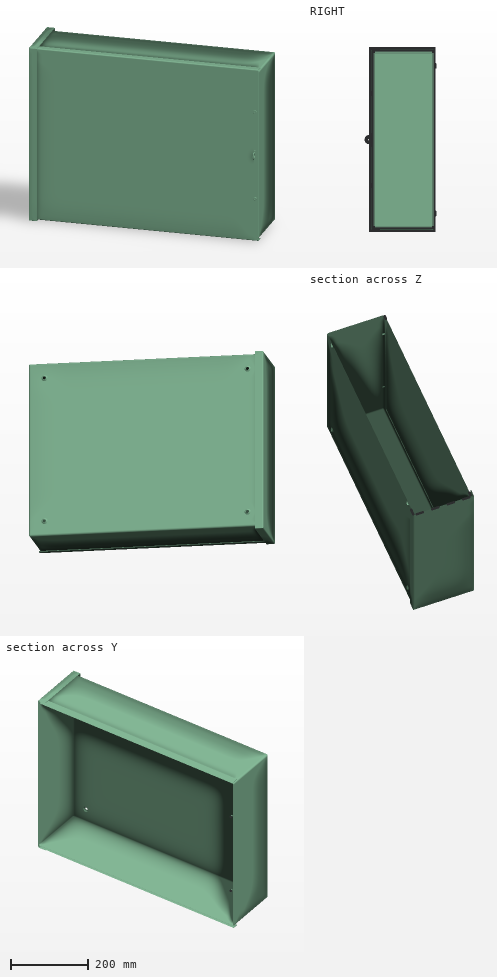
import cadquery as cq

OVERALL_LENGTH = 615.96
OVERALL_DEPTH = 180.96
OVERALL_WIDTH = 473.07
SHEET = 1.59

RIGHT_X = OVERALL_LENGTH / 2
LEFT_X = -RIGHT_X
FRONTMOST_Y = -OVERALL_DEPTH / 2
REARMOST_Y = OVERALL_DEPTH / 2

MOUNT_BOSS_HEIGHT = 3.17
BOX_BEND = 4.76
BOX_LEFT_X = LEFT_X + SHEET
BOX_BACK_Y = REARMOST_Y - MOUNT_BOSS_HEIGHT
BOX_DEPTH = 159.2
BOX_FRONT_Y = BOX_BACK_Y - BOX_DEPTH
BOX_WIDTH = 459.0
LIP_WIDTH = 15.9

MOUNT_SPACING_X = 533.4
MOUNT_SPACING_Z = 381.0
MOUNT_BOSS_BASE_DIAMETER = 16.0
MOUNT_BOSS_TIP_DIAMETER = 9.0
MOUNT_HOLE_DIAMETER = 7.95

HOOD_SKIRT = 22.2
HOOD_BEND = 3.17
HOOD_CORNER_RADIUS = 1.2
HOOD_BACK_Y = BOX_BACK_Y + SHEET
HOOD_FRONT_Y = -79.7

COVER_CLEARANCE = 0.5
COVER_BEND = 2.8
COVER_FLANGE = 19.05
COVER_WIDTH = OVERALL_WIDTH - 2 * (SHEET + COVER_CLEARANCE)
COVER_FRONT_Y = BOX_FRONT_Y - SHEET

FASTENER_X = 298.6
SCREW_SPACING = 237.5
SCREW_HEAD_DIAMETER = 9.53
SCREW_HEAD_HEIGHT = 1.4
SCREW_HEAD_ROUNDING = 0.9
SCREW_SOCKET_DIAMETER = 3.76
SCREW_SOCKET_DEPTH = 0.8
SCREW_SHANK_DIAMETER = 4.17
SCREW_LENGTH = 10.0

EYE_RADIUS = 9.53
EYE_HOLE_DIAMETER = 9.53
EYE_THICKNESS = SHEET
EYE_BASE_LENGTH = 32.0
EYE_BASE_OFFSET_Z = -1.6
EYE_BASE_WIDTH = 4.2
EYE_BASE_PROUD = 2.4


def block(x_range, y_range, z_size):
    """Rectangular block between two X and two Y positions, centred on Z = 0."""
    x_min, x_max = x_range
    y_min, y_max = y_range
    return (
        cq.Workplane("XY")
        .box(x_max - x_min, y_max - y_min, z_size, centered=(False, False, True))
        .translate((x_min, y_min, 0))
    )


def bent_block(x_range, y_range, z_size, bends):
    """Block whose edges are rounded one direction at a time, so that the bends meet in mitres.

    bends lists pairs of an edge selector and the radius for those parallel edges.
    """
    mitred = block(x_range, y_range, z_size)
    for edges, radius in bends:
        rounded = block(x_range, y_range, z_size).edges(edges).fillet(radius)
        mitred = mitred.intersect(rounded)
    return mitred


def rod(x, z, y_start, y_end, diameter):
    """Round bar along +Y from y_start to y_end."""
    return (
        cq.Workplane("XZ", origin=(x, y_start, z))
        .circle(diameter / 2)
        .extrude(y_start - y_end)
    )


def screw_positions():
    return [(FASTENER_X, side * SCREW_SPACING / 2) for side in (-1, 1)]


def add_mount_boss(box, x, z):
    """Press one hollow conical boss, with a hole in its tip, out of the back."""

    def cone(y_start):
        return (
            cq.Workplane("XZ", origin=(x, y_start, z))
            .circle(MOUNT_BOSS_BASE_DIAMETER / 2)
            .workplane(offset=-MOUNT_BOSS_HEIGHT)
            .circle(MOUNT_BOSS_TIP_DIAMETER / 2)
            .loft(ruled=True)
        )

    inner_back_y = BOX_BACK_Y - SHEET
    hole = rod(x, z, inner_back_y, REARMOST_Y, MOUNT_HOLE_DIAMETER)
    return box.union(cone(BOX_BACK_Y)).cut(cone(inner_back_y)).cut(hole)


def box_bends(radius):
    return [("|X", radius), ("|Y", radius), ("|Z", radius)]


def make_box():
    outer = bent_block(
        (BOX_LEFT_X, RIGHT_X),
        (BOX_FRONT_Y, BOX_BACK_Y),
        BOX_WIDTH,
        box_bends(BOX_BEND),
    )
    inner = bent_block(
        (BOX_LEFT_X + SHEET, RIGHT_X - SHEET),
        (BOX_FRONT_Y + SHEET, BOX_BACK_Y - SHEET),
        BOX_WIDTH - 2 * SHEET,
        box_bends(BOX_BEND - SHEET),
    )
    opening = block(
        (BOX_LEFT_X + LIP_WIDTH, RIGHT_X - LIP_WIDTH),
        (BOX_FRONT_Y, BOX_FRONT_Y + SHEET),
        BOX_WIDTH - 2 * LIP_WIDTH,
    )
    box = outer.cut(inner).cut(opening)

    for side_x in (-1, 1):
        for side_z in (-1, 1):
            box = add_mount_boss(box, side_x * MOUNT_SPACING_X / 2, side_z * MOUNT_SPACING_Z / 2)

    for x, z in screw_positions():
        box = box.cut(rod(x, z, BOX_FRONT_Y, BOX_FRONT_Y + SHEET, SCREW_SHANK_DIAMETER))
    return box


def make_hood():
    open_x = LEFT_X + HOOD_SKIRT
    outer = bent_block(
        (LEFT_X, open_x),
        (HOOD_FRONT_Y, HOOD_BACK_Y),
        OVERALL_WIDTH,
        [("|Y and <X", HOOD_BEND), ("|Z and <X", HOOD_BEND), ("|X", HOOD_CORNER_RADIUS)],
    )
    inner_bend = HOOD_BEND - SHEET
    inner = bent_block(
        (LEFT_X + SHEET, open_x),
        (HOOD_FRONT_Y + SHEET, HOOD_BACK_Y - SHEET),
        OVERALL_WIDTH - 2 * SHEET,
        [("|Y and <X", inner_bend), ("|Z and <X", inner_bend)],
    )
    return outer.cut(inner)


def make_cover():
    x_range = (LEFT_X + HOOD_BEND, RIGHT_X)
    flange_y = COVER_FRONT_Y + COVER_FLANGE
    outer = (
        block(x_range, (COVER_FRONT_Y, flange_y), COVER_WIDTH)
        .edges("|X and <Y")
        .fillet(COVER_BEND)
    )
    inner = (
        block(x_range, (COVER_FRONT_Y + SHEET, flange_y), COVER_WIDTH - 2 * SHEET)
        .edges("|X and <Y")
        .fillet(COVER_BEND - SHEET)
    )
    cover = outer.cut(inner)

    for x, z in screw_positions():
        cover = cover.cut(rod(x, z, COVER_FRONT_Y, COVER_FRONT_Y + SHEET, SCREW_SHANK_DIAMETER))
    return cover.cut(eye_base())


def make_screw(x, z):
    head_y = COVER_FRONT_Y - SCREW_HEAD_HEIGHT
    head = (
        rod(x, z, head_y, COVER_FRONT_Y, SCREW_HEAD_DIAMETER)
        .edges("<Y")
        .fillet(SCREW_HEAD_ROUNDING)
    )
    socket = rod(x, z, head_y, head_y + SCREW_SOCKET_DEPTH, SCREW_SOCKET_DIAMETER)
    shank = rod(x, z, COVER_FRONT_Y, COVER_FRONT_Y + SCREW_LENGTH, SCREW_SHANK_DIAMETER)
    return head.union(shank).cut(socket)


def eye_base():
    """Bar that stands on the lip of the box and passes through the cover."""
    base = block(
        (FASTENER_X - EYE_BASE_WIDTH / 2, FASTENER_X + EYE_BASE_WIDTH / 2),
        (COVER_FRONT_Y - EYE_BASE_PROUD, BOX_FRONT_Y),
        EYE_BASE_LENGTH,
    )
    return base.translate((0, 0, EYE_BASE_OFFSET_Z))


def make_padlock_eye():
    centre_y = FRONTMOST_Y + EYE_RADIUS
    base_top_y = COVER_FRONT_Y - EYE_BASE_PROUD
    plate_start = (FASTENER_X - EYE_THICKNESS / 2, 0, 0)
    plate = (
        cq.Workplane("YZ", origin=plate_start)
        .moveTo(base_top_y, -EYE_RADIUS)
        .lineTo(centre_y, -EYE_RADIUS)
        .threePointArc((FRONTMOST_Y, 0), (centre_y, EYE_RADIUS))
        .lineTo(base_top_y, EYE_RADIUS)
        .close()
        .extrude(EYE_THICKNESS)
    )
    hole = (
        cq.Workplane("YZ", origin=plate_start)
        .center(centre_y, 0)
        .circle(EYE_HOLE_DIAMETER / 2)
        .extrude(EYE_THICKNESS)
    )
    return eye_base().union(plate).cut(hole)


box = make_box()
hood = make_hood()
cover = make_cover()
screws = [make_screw(x, z) for x, z in screw_positions()]
padlock_eye = make_padlock_eye()

result = cq.Compound.makeCompound(
    [
        box.val(),
        hood.val(),
        cover.val(),
        *[screw.val() for screw in screws],
        padlock_eye.val(),
    ]
)